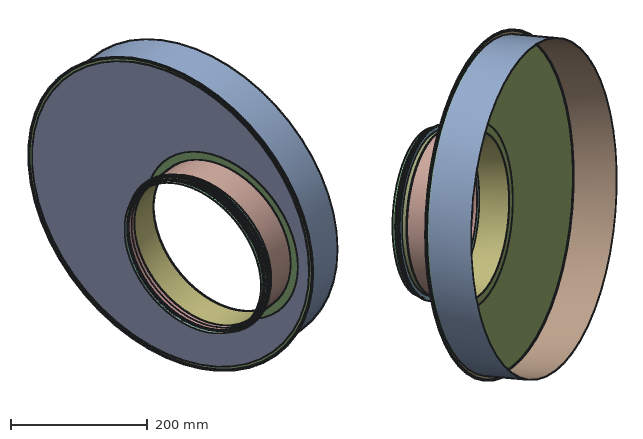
import cadquery as cq
import math

sheet = 0.5
spigot_offset = 93.5

sleeve_outer_d = 501.5
sleeve_depth = 71.0
hem_outer_d = 515.5
hem_lip_d = 501.5
bend_radius = 1.0

plate_d = 511.0
plate_front = sheet
plate_back = plate_front + sheet

spigot_outer_d = 249.0
spigot_flange_d = 275.0
spigot_length = 71.5
groove_d = 244.5
groove_start = 47.5
groove_end = 64.5
groove_taper = 2.5
end_fold_inner_d = 245.5

seal_start = 56.5
seal_end = 63.5
seal_lip_d = 259.5
seal_lip_width = 1.5
seal_shoulder_d = 254.0
seal_shoulder_end = 62.0
seal_band_d = 250.0


def revolve_about_y(profile, axis_x=0):
    """Turn a profile of (radius, Y) around an axis parallel to Y."""
    return profile.close().revolve(360, (0, 0, 0), (0, 1, 0)).translate((axis_x, 0, 0))


def make_sleeve():
    outer_r = sleeve_outer_d / 2
    inner_r = outer_r - sheet
    hem_r = hem_outer_d / 2
    lip_r = hem_lip_d / 2
    flange_back = plate_back + sheet
    bend_end_r = outer_r + bend_radius
    bend_end_y = flange_back + bend_radius
    diagonal = math.sqrt(0.5)
    outside_mid = (bend_end_r - bend_radius * diagonal, bend_end_y - bend_radius * diagonal)
    inside_radius = bend_radius + sheet
    inside_mid = (bend_end_r - inside_radius * diagonal, bend_end_y - inside_radius * diagonal)
    profile = (
        cq.Workplane("XY")
        .moveTo(inner_r, sleeve_depth)
        .lineTo(outer_r, sleeve_depth)
        .lineTo(outer_r, bend_end_y)
        .threePointArc(outside_mid, (bend_end_r, flange_back))
        .lineTo(hem_r, flange_back)
        .lineTo(hem_r, 0)
        .lineTo(lip_r, 0)
        .lineTo(lip_r, plate_front)
        .lineTo(plate_d / 2, plate_front)
        .lineTo(plate_d / 2, plate_back)
        .lineTo(bend_end_r, plate_back)
        .threePointArc(inside_mid, (inner_r, bend_end_y))
    )
    return revolve_about_y(profile)


def make_end_plate():
    plate = cq.Workplane("XZ", origin=(0, plate_back, 0)).circle(plate_d / 2).extrude(sheet)
    opening = (
        cq.Workplane("XZ", origin=(spigot_offset, plate_back, 0))
        .circle(spigot_outer_d / 2 - sheet)
        .extrude(sheet)
    )
    return plate.cut(opening)


def make_spigot():
    outer_r = spigot_outer_d / 2
    bore_r = outer_r - sheet
    groove_r = groove_d / 2
    groove_bore_r = groove_r - sheet
    fold_inner_r = end_fold_inner_d / 2
    fold_radius = (outer_r - fold_inner_r) / 2
    fold_mid_r = (outer_r + fold_inner_r) / 2
    fold_tangent_y = fold_radius - spigot_length
    profile = (
        cq.Workplane("XY")
        .moveTo(bore_r, plate_front)
        .lineTo(spigot_flange_d / 2, plate_front)
        .lineTo(spigot_flange_d / 2, 0)
        .lineTo(outer_r, 0)
        .lineTo(outer_r, -groove_start)
        .lineTo(groove_r, -groove_start - groove_taper)
        .lineTo(groove_r, -groove_end)
        .lineTo(outer_r, -groove_end - groove_taper)
        .lineTo(outer_r, fold_tangent_y)
        .threePointArc((fold_mid_r, -spigot_length), (fold_inner_r, fold_tangent_y))
        .lineTo(fold_inner_r, -groove_end - groove_taper)
        .lineTo(groove_bore_r, -groove_end)
        .lineTo(groove_bore_r, -groove_start - groove_taper)
        .lineTo(bore_r, -groove_start)
    )
    return revolve_about_y(profile, spigot_offset)


def make_seal():
    groove_r = groove_d / 2
    lip_r = seal_lip_d / 2
    shoulder_r = seal_shoulder_d / 2
    lip_end = seal_start + seal_lip_width
    profile = (
        cq.Workplane("XY")
        .moveTo(groove_r, -seal_start)
        .lineTo(lip_r, -seal_start)
        .lineTo(lip_r, -lip_end)
        .lineTo(shoulder_r, -lip_end)
        .lineTo(shoulder_r, -seal_shoulder_end)
        .lineTo(seal_band_d / 2, -seal_end)
        .lineTo(groove_r, -seal_end)
    )
    return revolve_about_y(profile, spigot_offset)


sleeve = make_sleeve()
end_plate = make_end_plate()
spigot = make_spigot()
seal = make_seal()

result = cq.Compound.makeCompound([sleeve.val(), end_plate.val(), spigot.val(), seal.val()])